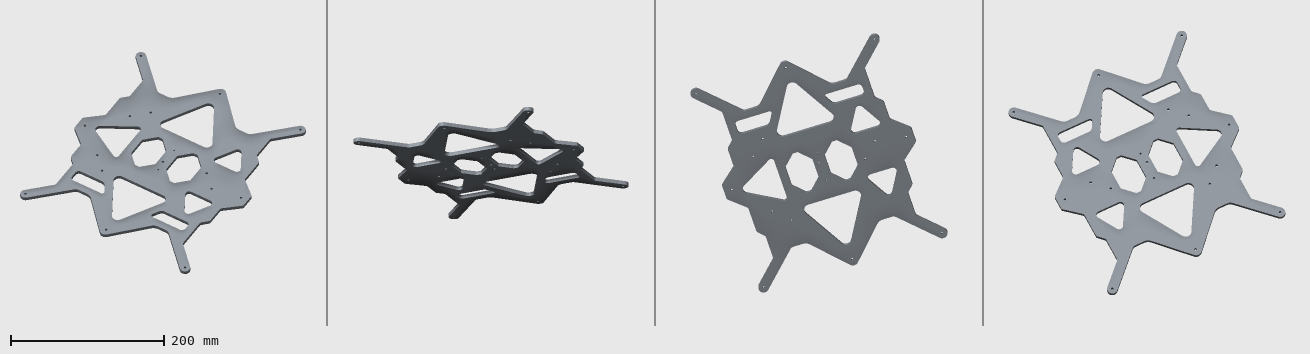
import cadquery as cq
import math

WIDTH = 260.0
LENGTH = 299.2
THICKNESS = 5.0

PATTERN_Y = 4.8

NOSE_RADIUS = 7.5
NOSE_SLOPE = math.radians(46.7)
NOSE_HOLE_Y = 140.5

ARM_RADIUS = 7.0
ARM_HOLE_X = 122.7
ARM_HOLE_Y = LENGTH / 2 - ARM_RADIUS

SHOULDER_Y = 100.2
VALLEY_RADIUS = 12.3
ARM_INNER_ROOT_RADIUS = 7.8
ARM_OUTER_ROOT_RADIUS = 4.2
NARROW_HALF_WIDTH = 97.8
WIDE_HALF_WIDTH = 107.0
STEP_RISE = WIDE_HALF_WIDTH - NARROW_HALF_WIDTH
STEP_FROM_PATTERN = 60.7
STEP_RADIUS = 4.0

EAR_HALF_LENGTH = 10.2
EAR_ROOT_Y = 30.2
EAR_RADIUS = 3.5
EAR_ROOT_RADIUS = 4.8
EAR_HOLE_X = 120.0

LARGE_TRIANGLE_BASE_Y = 50.3
LARGE_TRIANGLE_SIDE = 88.5
LARGE_TRIANGLE_RADIUS = 7.5
SIDE_TRIANGLE_BASE_X = -54.5
SIDE_TRIANGLE_SIDE = 67.0
SIDE_TRIANGLE_TIP_RADIUS = 6.5
SIDE_TRIANGLE_BASE_RADIUS = 4.0
SMALL_TRIANGLE_X = 74.0
SMALL_TRIANGLE_BASE_FROM_PATTERN = 30.2
SMALL_TRIANGLE_SIDE = 47.0
SMALL_TRIANGLE_RADIUS = 5.0

PAIR_X = 2.0
OCTAGON_OFFSET = 27.0
OCTAGON_WIDTH = 37.0
OCTAGON_LENGTH = 57.7
OCTAGON_CHAMFER = 15.3

SLOT_BOTTOM_Y = -89.8
SLOT_OUTER_X = 87.0
SLOT_POINT_X = 34.5
SLOT_OUTER_RADIUS = 5.5
SLOT_POINT_RADIUS = 3.0
LEFT_SLOT_HEIGHT = 18.5
LEFT_SLOT_SHOULDER_RADIUS = 9.0
RIGHT_SLOT_HEIGHT = 16.5
RIGHT_SLOT_SHOULDER_RADIUS = 7.2

HOLE_DIAMETER = 3.3
PIN_DIAMETER = 2.5
PIN_SPACING = 39.5
MOUNT_INNER_X = 59.2
MOUNT_PITCH = 19.7
LEFT_MOUNT_NEAR_Y = 40.5
RIGHT_MOUNT_INNER_Y = 13.0

SHORTEST_EDGE = 2.99e-06


def rounded_plate(corners):
    """Extrude a closed polygon given as (x, y, corner radius)."""
    arcs = []
    for i, (x, y, radius) in enumerate(corners):
        before = cq.Vector(*corners[i - 1][:2])
        after = cq.Vector(*corners[(i + 1) % len(corners)][:2])
        corner = cq.Vector(x, y)
        to_before = (before - corner).normalized()
        to_after = (after - corner).normalized()
        half_angle = to_before.getAngle(to_after) / 2
        setback = radius / math.tan(half_angle)
        bisector = (to_before + to_after).normalized()
        middle = corner + bisector * (radius / math.sin(half_angle) - radius)
        arcs.append((corner + to_before * setback, middle, corner + to_after * setback))

    edges = []
    for i, (start, middle, end) in enumerate(arcs):
        previous_end = arcs[i - 1][2]
        if (start - previous_end).Length > SHORTEST_EDGE:
            edges.append(cq.Edge.makeLine(previous_end, start))
        if (end - start).Length > SHORTEST_EDGE:
            edges.append(cq.Edge.makeThreePointArc(start, middle, end))
    wire = cq.Wire.assembleEdges(edges)
    return cq.Workplane("XY").add(wire).toPending().extrude(THICKNESS)


def nose_tip():
    """Sharp corner that leaves the rounded nose at half the plate length."""
    overshoot = NOSE_RADIUS * (1 / math.cos(NOSE_SLOPE) - 1)
    return (0, LENGTH / 2 + overshoot, NOSE_RADIUS)


def quadrant_corners(step_y):
    """Corners from nose to ear with X and Y positive, without the nose tip."""
    valley_x = (nose_tip()[1] - SHOULDER_Y) / math.tan(NOSE_SLOPE)
    reach = ARM_RADIUS * math.sqrt(2)
    arm_rise = ARM_HOLE_Y - ARM_HOLE_X
    return [
        (valley_x, SHOULDER_Y, VALLEY_RADIUS),
        (SHOULDER_Y - arm_rise - reach, SHOULDER_Y, ARM_INNER_ROOT_RADIUS),
        (ARM_HOLE_X, ARM_HOLE_Y + reach, ARM_RADIUS),
        (ARM_HOLE_X + reach, ARM_HOLE_Y, ARM_RADIUS),
        (NARROW_HALF_WIDTH, NARROW_HALF_WIDTH + arm_rise - reach, ARM_OUTER_ROOT_RADIUS),
        (NARROW_HALF_WIDTH, step_y + STEP_RISE, STEP_RADIUS),
        (WIDE_HALF_WIDTH, step_y, STEP_RADIUS),
        (WIDE_HALF_WIDTH, EAR_ROOT_Y, EAR_ROOT_RADIUS),
        (WIDTH / 2, EAR_HALF_LENGTH, EAR_RADIUS),
    ]


def mirrored(corners, x_sign, y_sign):
    return [(x_sign * x, y_sign * y, radius) for x, y, radius in corners]


def plate():
    upper = quadrant_corners(STEP_FROM_PATTERN + PATTERN_Y)
    lower = quadrant_corners(STEP_FROM_PATTERN - PATTERN_Y)
    tip = nose_tip()
    return rounded_plate(
        [tip]
        + upper
        + mirrored(lower[::-1], 1, -1)
        + mirrored([tip], 1, -1)
        + mirrored(lower, -1, -1)
        + mirrored(upper[::-1], -1, 1)
    )


def triangle(base_x, base_y, side, direction, tip_radius, base_radius):
    """Equilateral window; base_x, base_y is mid-base, direction (degrees) points to the tip."""
    height = side * math.sqrt(3) / 2
    window = rounded_plate([
        (0, -side / 2, base_radius),
        (height, 0, tip_radius),
        (0, side / 2, base_radius),
    ])
    return window.rotate((0, 0, 0), (0, 0, 1), direction).translate((base_x, base_y, 0))


def triangles():
    windows = [triangle(SIDE_TRIANGLE_BASE_X, PATTERN_Y, SIDE_TRIANGLE_SIDE, 180,
                        SIDE_TRIANGLE_TIP_RADIUS, SIDE_TRIANGLE_BASE_RADIUS)]
    for sign in (1, -1):
        small_base_y = PATTERN_Y + sign * SMALL_TRIANGLE_BASE_FROM_PATTERN
        windows.append(triangle(0, sign * LARGE_TRIANGLE_BASE_Y, LARGE_TRIANGLE_SIDE, sign * 90,
                                LARGE_TRIANGLE_RADIUS, LARGE_TRIANGLE_RADIUS))
        windows.append(triangle(SMALL_TRIANGLE_X, small_base_y, SMALL_TRIANGLE_SIDE, sign * 90,
                                SMALL_TRIANGLE_RADIUS, SMALL_TRIANGLE_RADIUS))
    return windows


def octagons():
    centers = [(PAIR_X + sign * OCTAGON_OFFSET, PATTERN_Y) for sign in (-1, 1)]
    windows = cq.Workplane("XY").pushPoints(centers).rect(OCTAGON_WIDTH, OCTAGON_LENGTH)
    return windows.extrude(THICKNESS).edges("|Z").chamfer(OCTAGON_CHAMFER)


def slot(side, height, shoulder_radius):
    """Slot on the +X (side 1) or -X (side -1) half, pointed towards the middle."""
    top_y = SLOT_BOTTOM_Y + height
    shoulder_x = SLOT_POINT_X + height / math.sqrt(3)
    corners = [
        (SLOT_POINT_X, SLOT_BOTTOM_Y, SLOT_POINT_RADIUS),
        (SLOT_OUTER_X, SLOT_BOTTOM_Y, SLOT_OUTER_RADIUS),
        (SLOT_OUTER_X, top_y, SLOT_OUTER_RADIUS),
        (shoulder_x, top_y, shoulder_radius),
    ]
    return rounded_plate(mirrored(corners, side, 1))


def holes(points, diameter):
    return cq.Workplane("XY").pushPoints(points).circle(diameter / 2).extrude(THICKNESS)


def hole_points():
    points = [(0, 0)]
    for sign in (1, -1):
        points += [(0, sign * NOSE_HOLE_Y), (sign * EAR_HOLE_X, 0)]
        points += [(ARM_HOLE_X, sign * ARM_HOLE_Y), (-ARM_HOLE_X, sign * ARM_HOLE_Y)]
    for step in (0, MOUNT_PITCH):
        points.append((MOUNT_INNER_X + step, RIGHT_MOUNT_INNER_Y - step))
        for sign in (1, -1):
            mount_y = PATTERN_Y + sign * (LEFT_MOUNT_NEAR_Y + step)
            points.append((step - MOUNT_INNER_X - MOUNT_PITCH, mount_y))
    return points


pin_points = [(PAIR_X, PATTERN_Y + sign * PIN_SPACING / 2) for sign in (1, -1)]

result = plate()
for window in triangles():
    result = result.cut(window)
result = result.cut(octagons())
result = result.cut(slot(-1, LEFT_SLOT_HEIGHT, LEFT_SLOT_SHOULDER_RADIUS))
result = result.cut(slot(1, RIGHT_SLOT_HEIGHT, RIGHT_SLOT_SHOULDER_RADIUS))
result = result.cut(holes(hole_points(), HOLE_DIAMETER))
result = result.cut(holes(pin_points, PIN_DIAMETER))